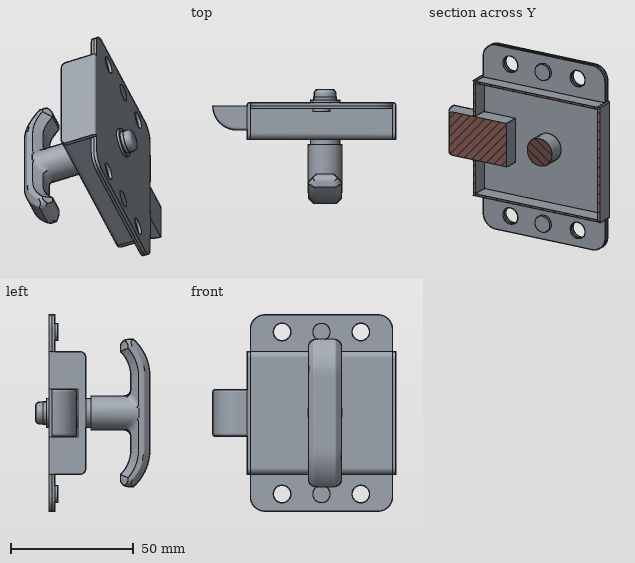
import cadquery as cq
import math


plate_width = 57.9
plate_height = 80.0
plate_thickness = 1.3
plate_corner_radius = 6.0
wall_bend_radius = 1.0
case_depth = 15.0
case_height = 50.0
case_bend_radius = 2.5
outer_width = plate_width + 2 * plate_thickness

sheet_thickness = 1.1
flange_depth = plate_thickness + sheet_thickness

hole_diameter = 7.0
hole_spacing_x = 32.0
hole_spacing_z = 65.9
rivet_diameter = 7.0
rivet_head_height = 1.3

bolt_height = 19.0
bolt_thickness = 9.9
bolt_projection = 14.0
bolt_edge_radius = 1.0
bolt_inner_length = 16.0
slot_clearance = 0.2
slot_depth = 11.8

spindle_x = 1.4
journal_diameter = 12.0
journal_rear = 1.0
journal_front = 17.1
collar_diameter = 9.3
collar_rear = 2.3
tip_diameter = 9.0
tip_rear = 5.4
tip_radius = 1.8

handle_front = 41.1
bar_length = 60.0
bar_width = 13.5
bar_thickness = 7.8
bar_back_depth = handle_front - bar_thickness
bar_straight_length = 30.0
bar_front_radius = 20.0
bar_back_radius = 14.0
bar_tip_depth = 29.0
bar_tip_radius = 3.2
bar_front_chamfer = 2.2
bar_back_chamfer = 3.2
bar_edge_radius = 0.8
stem_diameter = 14.0
stem_end_depth = 36.6
stem_fillet = 2.8

pick_margin = 0.3


def block(x_min, x_max, depth_min, depth_max, height):
    """Box spanning two X values and two depths, centred on Z = 0."""
    return cq.Workplane("XY").box(
        x_max - x_min, depth_max - depth_min, height
    ).translate(((x_min + x_max) / 2, -(depth_min + depth_max) / 2, 0))


def pin(diameter, depth_min, depth_max, points):
    """Round pins along Y, centred on the given X-Z points."""
    return (
        cq.Workplane("XZ", origin=(0, -depth_min, 0))
        .pushPoints(points)
        .circle(diameter / 2)
        .extrude(depth_max - depth_min)
    )


spindle_center = [(spindle_x, 0)]
rivet_points = [(0, side * hole_spacing_z / 2) for side in (-1, 1)]
hole_points = [
    (x_side * hole_spacing_x / 2, z_side * hole_spacing_z / 2)
    for x_side in (-1, 1)
    for z_side in (-1, 1)
]


def mounting_sheet(depth_min, depth_max):
    """Flat sheet with rounded corners, mounting holes and rivet holes."""
    sheet = block(-plate_width / 2, plate_width / 2, depth_min, depth_max, plate_height)
    sheet = sheet.edges("|Y").fillet(plate_corner_radius)
    sheet = sheet.cut(pin(hole_diameter, depth_min, depth_max, hole_points))
    return sheet.cut(pin(rivet_diameter, depth_min, depth_max, rivet_points))


def case_block(x_half, inset):
    """Solid of the case outline, set in from the outside by one thickness."""
    body = block(-x_half, x_half, 0, case_depth - inset, case_height - 2 * inset)
    return body.edges("|X and <Y").fillet(case_bend_radius - inset)


def make_back_plate():
    shell = case_block(outer_width / 2, 0)
    shell = shell.edges("|Z and >Y").fillet(wall_bend_radius)
    cavity = block(-plate_width / 2, plate_width / 2, plate_thickness, case_depth, case_height)
    plate = shell.cut(cavity).union(mounting_sheet(0, plate_thickness))
    bolt_slot = block(
        -outer_width / 2, -plate_width / 2, 0, slot_depth, bolt_height + 2 * slot_clearance
    )
    plate = plate.cut(bolt_slot)
    return plate.cut(pin(journal_diameter, 0, plate_thickness, spindle_center))


def make_case():
    rear_space = block(-plate_width / 2, plate_width / 2, 0, plate_thickness, plate_height)
    hat = case_block(plate_width / 2, 0).cut(rear_space)
    hat = hat.union(mounting_sheet(plate_thickness, flange_depth))
    hat = hat.cut(case_block(plate_width / 2, sheet_thickness))
    return hat.cut(pin(journal_diameter, flange_depth, case_depth, spindle_center))


def make_rivet(point):
    return pin(rivet_diameter, 0, flange_depth + rivet_head_height, [point])


def make_bolt():
    tip_x = -outer_width / 2 - bolt_projection
    inner_x = -outer_width / 2 + bolt_inner_length
    rear_y = -plate_thickness
    front_y = rear_y - bolt_thickness
    nose_end_x = tip_x + bolt_thickness
    mid_offset = bolt_thickness * math.sqrt(0.5)
    bolt = (
        cq.Workplane("XY", origin=(0, 0, -bolt_height / 2))
        .moveTo(inner_x, rear_y)
        .lineTo(tip_x, rear_y)
        .threePointArc((nose_end_x - mid_offset, rear_y - mid_offset), (nose_end_x, front_y))
        .lineTo(inner_x, front_y)
        .close()
        .extrude(bolt_height)
    )
    return bolt.faces("<Y or <X").edges("not |Z").fillet(bolt_edge_radius)


def make_spindle():
    journal = pin(journal_diameter, -journal_rear, journal_front, spindle_center)
    collar = pin(collar_diameter, -collar_rear, -journal_rear, spindle_center)
    tip = pin(tip_diameter, -tip_rear, -collar_rear, spindle_center)
    tip = tip.faces(">Y").edges().fillet(tip_radius)
    return journal.union(collar).union(tip)


def bar_profile():
    """Side profile of the bar in Y-Z: straight middle, ends bent back by arcs and cut square."""
    bend_z = bar_straight_length / 2
    end_z = bar_length / 2
    front_center = handle_front - bar_front_radius
    back_center = bar_back_depth - bar_back_radius

    def arc_point(center, radius, angle):
        return (-(center + radius * math.cos(angle)), bend_z + radius * math.sin(angle))

    front_angle = math.asin((end_z - bend_z) / bar_front_radius)
    back_angle = math.acos((bar_tip_depth - back_center) / bar_back_radius)
    return (
        cq.Workplane("YZ", origin=(spindle_x - bar_width / 2, 0, 0))
        .moveTo(-handle_front, 0)
        .lineTo(-handle_front, bend_z)
        .threePointArc(
            arc_point(front_center, bar_front_radius, front_angle / 2),
            arc_point(front_center, bar_front_radius, front_angle),
        )
        .lineTo(-bar_tip_depth, end_z)
        .lineTo(*arc_point(back_center, bar_back_radius, back_angle))
        .threePointArc(
            arc_point(back_center, bar_back_radius, back_angle / 2),
            (-bar_back_depth, bend_z),
        )
        .lineTo(-bar_back_depth, 0)
        .mirrorX()
    )


def bar_tip_envelope():
    """Block around the bar; its ends are rounded toward both sides and toward the back."""
    envelope = block(
        spindle_x - bar_width / 2, spindle_x + bar_width / 2,
        bar_tip_depth, handle_front, bar_length,
    )
    envelope = envelope.edges("|Y").fillet(bar_tip_radius)
    back_rounding = block(
        spindle_x - bar_width, spindle_x + bar_width, bar_tip_depth, handle_front, bar_length
    )
    back_rounding = back_rounding.edges("|X and >Y").fillet(bar_tip_radius)
    return envelope.intersect(back_rounding)


def edges_near_spindle(body, half_width, depth_min, depth_max, half_height):
    """Edges centred inside a box around the spindle axis, between two depths."""
    return body.edges(
        cq.selectors.BoxSelector(
            (spindle_x - half_width, -depth_max, -half_height),
            (spindle_x + half_width, -depth_min, half_height),
        )
    )


def make_handle():
    bar = bar_profile().extrude(bar_width)
    bar = bar.edges("|Z and (not <Y)").chamfer(bar_back_chamfer)
    bar = bar.edges("|Z and <Y").chamfer(bar_front_chamfer)

    front_edges = edges_near_spindle(
        bar,
        bar_width,
        handle_front - bar_front_chamfer - pick_margin,
        handle_front + pick_margin,
        pick_margin,
    )
    bar = front_edges.edges("|Z").fillet(bar_edge_radius)
    bar = bar.intersect(bar_tip_envelope())

    stem = pin(stem_diameter, journal_front, stem_end_depth, spindle_center)
    handle = bar.union(stem)
    junction = edges_near_spindle(
        handle,
        bar_width / 2 - pick_margin,
        bar_back_depth - pick_margin,
        stem_end_depth + pick_margin,
        stem_diameter / 2,
    )
    return junction.fillet(stem_fillet)


back_plate = make_back_plate()
case = make_case()
rivets = [make_rivet(point) for point in rivet_points]
bolt = make_bolt()
spindle = make_spindle()
handle = make_handle()

result = cq.Compound.makeCompound(
    [back_plate.val(), case.val(), *[rivet.val() for rivet in rivets], bolt.val(),
     spindle.val(), handle.val()]
)